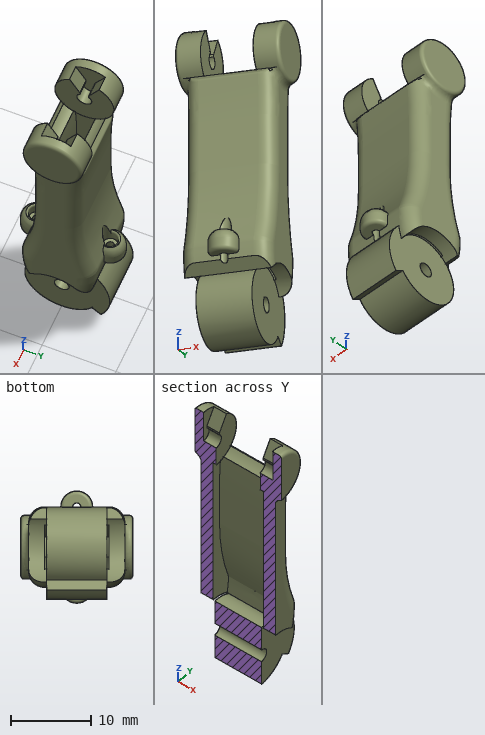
import cadquery as cq
import math


wheel_radius = 5.0
wheel_width = 7.5
axle_hole_radius = 1.0
lobe_radius = 6.5
lobe_start_angle = -35.0
lobe_end_angle = 45.0

hinge_height = 33.0
knuckle_radius = 4.0
knuckle_outer_x = 7.0
knuckle_inner_x = 3.5
knuckle_rim_fillet = 0.5
knuckle_root_fillet = 1.0
pin_seat_radius = 1.0
pin_seat_outer_x = 5.5
pin_slot_half_width = 0.6
pin_slot_flare_height = 1.15
pin_slot_mouth_half_width = 2.0

body_half_width = 6.0
waist_half_depth = 3.25
waist_bottom = 17.5
waist_top = 24.0
upper_flare_radius = 60.0
lower_flare_radius = 31.0
lower_flare_angle = math.radians(18.85)
crest_radius = 2.05
chin_radius = 15.0
corner_radius = 2.0
top_edge_fillet = 0.4
pocket_wall = 2.0

boss_offset = 5.0
boss_radius = 2.0
boss_bottom = 5.5
boss_top = 8.4
boss_bottom_fillet = 0.5
boss_crown_height = 1.3
boss_crown_bulge = 0.17
boss_rim_radius = 1.3
screw_radius = 0.5
screw_head_radius = 1.0
screw_seat = 6.9

match_tolerance = 0.01


def side_sketch(x_start):
    """Workplane across the part at x_start: local x is Y, local y is Z."""
    return cq.Workplane("YZ").workplane(offset=x_start)


def x_cylinder(radius, height, x_start, x_end):
    return side_sketch(x_start).center(0, height).circle(radius).extrude(x_end - x_start)


def z_cylinder(radius, y, z_start, z_end):
    return cq.Workplane("XY", origin=(0, y, z_start)).circle(radius).extrude(z_end - z_start)


def on_arc(center, radius, angle):
    return (center[0] + radius * math.cos(angle), center[1] + radius * math.sin(angle))


def extrude_body_profile(inset):
    """Body without rounded corners, from the wheel axis up to the hinge axis, all faces set in by inset."""
    half_depth = waist_half_depth - inset
    half_width = body_half_width - inset

    lower_radius = lower_flare_radius + inset
    lower_center = (waist_half_depth + lower_flare_radius, waist_bottom)
    lower_mid = on_arc(lower_center, lower_radius, math.pi + lower_flare_angle / 2)
    lower_end = on_arc(lower_center, lower_radius, math.pi + lower_flare_angle)

    crest_center = on_arc(lower_center, lower_flare_radius + crest_radius, math.pi + lower_flare_angle)
    crest_mid = on_arc(crest_center, crest_radius - inset, lower_flare_angle / 2)
    crest_end = on_arc(crest_center, crest_radius - inset, 0)

    chin_center = (crest_center[0] + crest_radius - chin_radius, crest_center[1])
    chin_angle = math.asin(chin_center[1] / (chin_radius - inset))
    chin_mid = on_arc(chin_center, chin_radius - inset, -chin_angle / 2)
    chin_end = on_arc(chin_center, chin_radius - inset, -chin_angle)

    upper_radius = upper_flare_radius + inset
    upper_center = (waist_half_depth + upper_flare_radius, waist_top)
    upper_angle = math.asin((hinge_height - waist_top) / upper_radius)
    upper_mid = on_arc(upper_center, upper_radius, math.pi - upper_angle / 2)
    upper_end = on_arc(upper_center, upper_radius, math.pi - upper_angle)

    return (
        side_sketch(-half_width)
        .lineTo(*chin_end)
        .threePointArc(chin_mid, crest_end)
        .threePointArc(crest_mid, lower_end)
        .threePointArc(lower_mid, (half_depth, waist_bottom))
        .lineTo(half_depth, waist_top)
        .threePointArc(upper_mid, upper_end)
        .lineTo(0, hinge_height)
        .mirrorY()
        .extrude(2 * half_width)
    )


def make_body_blank():
    """Solid body with rounded corners, not yet trimmed."""
    blank = extrude_body_profile(0)
    corner_edges = blank.faces("<X or >X").edges().filter(
        lambda edge: 0 < edge.positionAt(0.5).z < hinge_height
    )
    return corner_edges.fillet(corner_radius)


def make_envelope():
    """Space between 45 degree planes through the hinge axis and, at the front, the wheel axis."""
    reach = 2 * boss_offset
    outline = [
        (0, hinge_height),
        (reach, hinge_height - reach),
        (reach, 0),
        (0, 0),
        (-reach, reach),
        (-reach, hinge_height - reach),
    ]
    return side_sketch(-knuckle_outer_x).polyline(outline).close().extrude(2 * knuckle_outer_x)


def make_body(blank, envelope):
    """Hollow body, open to the hinge at the top and to the wheel at the bottom."""
    body = blank.intersect(envelope)
    top_rim = body.faces(cq.selectors.BoxSelector(
        (-body_half_width, -knuckle_radius, hinge_height - knuckle_radius),
        (body_half_width, knuckle_radius, hinge_height),
    ))
    ridge_z = hinge_height - match_tolerance
    rim_edges = top_rim.edges().filter(lambda edge: edge.positionAt(0.5).z < ridge_z)
    body = rim_edges.fillet(top_edge_fillet)
    wheel_clearance = x_cylinder(wheel_radius, 0, -body_half_width, body_half_width)
    hinge_clearance = x_cylinder(knuckle_radius, hinge_height, -knuckle_inner_x, knuckle_inner_x)
    pocket = extrude_body_profile(pocket_wall)
    return body.cut(wheel_clearance).cut(hinge_clearance).cut(pocket)


def make_knuckle():
    """Plain knuckle on the +X side."""
    knuckle = x_cylinder(knuckle_radius, hinge_height, knuckle_inner_x, knuckle_outer_x)
    return knuckle.faces(">X").edges().fillet(knuckle_rim_fillet)


def make_knuckle_root(blank, envelope, knuckle):
    """Concave blend between the +X knuckle and the side of the body."""
    joined = blank.union(knuckle)
    root_edge = joined.edges("%CIRCLE").filter(
        lambda edge: abs(edge.positionAt(0.5).x - body_half_width) < match_tolerance
    )
    return root_edge.fillet(knuckle_root_fillet).cut(joined).intersect(envelope)


def make_pin_notch():
    """Keyhole in the +X knuckle: a round pin seat with a slot that flares to the top."""
    depth = pin_seat_outer_x - knuckle_inner_x
    mouth_height = math.sqrt(knuckle_radius**2 - pin_slot_mouth_half_width**2)
    flare_slope = (pin_slot_mouth_half_width - pin_slot_half_width) / (mouth_height - pin_slot_flare_height)
    top_half_width = pin_slot_half_width + flare_slope * (knuckle_radius - pin_slot_flare_height)
    slot = (
        side_sketch(knuckle_inner_x).center(0, hinge_height)
        .lineTo(pin_slot_half_width, 0)
        .lineTo(pin_slot_half_width, pin_slot_flare_height)
        .lineTo(top_half_width, knuckle_radius)
        .lineTo(0, knuckle_radius)
        .mirrorY()
        .extrude(depth)
    )
    return slot.union(x_cylinder(pin_seat_radius, hinge_height, knuckle_inner_x, pin_seat_outer_x))


def make_wheel():
    """Roller with a raised lobe over part of its rim."""
    half_width = wheel_width / 2
    start = math.radians(lobe_start_angle)
    end = math.radians(lobe_end_angle)
    center = (0, 0)
    lobe = (
        side_sketch(-half_width)
        .lineTo(*on_arc(center, lobe_radius, start))
        .threePointArc(on_arc(center, lobe_radius, (start + end) / 2), on_arc(center, lobe_radius, end))
        .close()
        .extrude(wheel_width)
    )
    return x_cylinder(wheel_radius, 0, -half_width, half_width).union(lobe)


def make_boss(y):
    """Round boss with a domed top and a rounded bottom edge."""
    rim_round = boss_rim_radius - screw_head_radius
    crown_bottom = (boss_radius, boss_top - boss_crown_height)
    boss = (
        cq.Workplane("XZ")
        .moveTo(0, boss_bottom)
        .lineTo(boss_radius, boss_bottom)
        .lineTo(*crown_bottom)
        .sagittaArc((boss_rim_radius, boss_top), -boss_crown_bulge)
        .radiusArc((screw_head_radius, boss_top - rim_round), -rim_round)
        .lineTo(0, boss_top - rim_round)
        .close()
        .revolve(360, (0, 0, 0), (0, 1, 0))
    )
    return boss.faces("<Z").edges().fillet(boss_bottom_fillet).translate((0, y, 0))


def make_screw_hole(y):
    """Screw hole through a boss and the space above it for the screw head and driver."""
    shank = z_cylinder(screw_radius, y, 0, boss_top)
    return shank.union(z_cylinder(screw_head_radius, y, screw_seat, waist_bottom))


def build_part():
    blank = make_body_blank()
    envelope = make_envelope()
    knuckle = make_knuckle()
    knuckle = knuckle.union(make_knuckle_root(blank, envelope, knuckle))
    notch = make_pin_notch()
    part = make_body(blank, envelope)
    part = part.union(knuckle).union(knuckle.mirror("YZ"))
    part = part.cut(notch).cut(notch.mirror("YZ"))
    for y in (-boss_offset, boss_offset):
        part = part.union(make_boss(y)).cut(make_screw_hole(y))
    axle_hole = x_cylinder(axle_hole_radius, 0, -wheel_width / 2, wheel_width / 2)
    return part.union(make_wheel()).cut(axle_hole)


result = build_part()